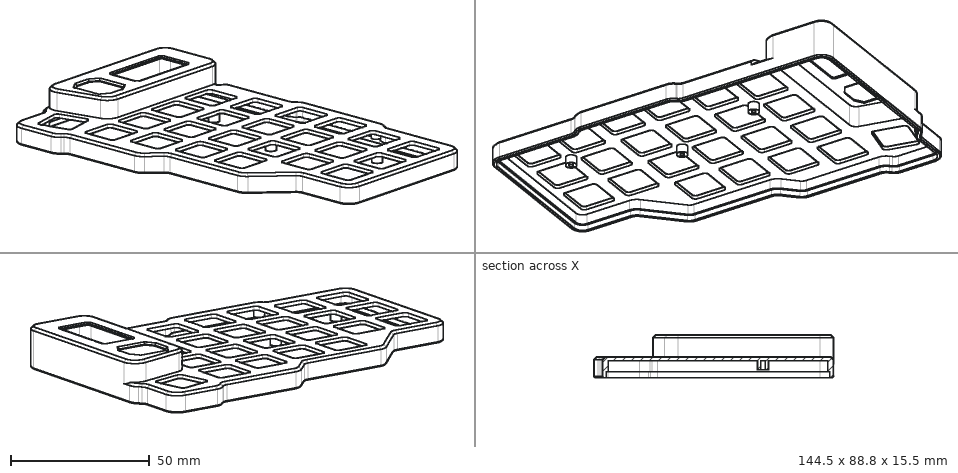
import cadquery as cq
import math


length = 144.5
width = 88.8
tower_height = 15.5
deck_height = 7.5

plate_thickness = 1.5
rim_thickness = 2.2
seat_wall = 1.5
seat_depth = 2.2
roof_thickness = 1.0
top_chamfer = 1.0
bottom_chamfer = 0.5

outer_radius = 5.0
inner_radius = 3.0
left = -length / 2
right = length / 2
back_high = width / 2
front_low = -width / 2
back_low = 42.0
thumb_left = -69.0
front_left = -41.3
front_middle = -34.0
front_right = -19.2
back_step_left = -10.1
back_step_right = 35.4
back_step_run = 2.6
thumb_step_y = -23.5
front_thumb_step_x = -47.7
front_step_left = -10.3
front_step_right = 33.1

tower_right = -44.5
tower_front_at_right = -18.2
thumb_angle = 12.5

key_size = 14.0
key_radius = 1.5
first_column_x = -34.8
last_column_x = 60.0
column_count = 6
column_pitch = (last_column_x - first_column_x) / (column_count - 1)
row_span = 54.0
most_rows = 4
row_pitch = row_span / (most_rows - 1)
back_row_y = [25.5, 28.9, 31.9, 31.9, 28.9, 28.9]
row_counts = [most_rows] * 4 + [most_rows - 1] * 2
thumb_key_center = (-55.8, -30.9)

display_center = (-57.9, 18.0)
display_size = (14.2, 28.7)
display_chamfer = 0.5
knob_center = (-57.5, -9.5)
knob_size = (17.0, 14.5)
knob_corner_cut = (2.5, 3.8)
knob_chamfer = 0.7

boss_diameter = 4.0
screw_diameter = 1.6
boss_bottom = 2.9
boss_keys = [(0, 1), (2, 2), (3, 0), (4, 1)]

notch_drop = 1.5
tower_corner_x = tower_right - outer_radius
notch_edge = [(-40.5, back_low), (-42.3, 39.0), (-43.3, 38.3)]


def rounded_outline(corners):
    """Closed XY wire through (x, y, radius) corners, each rounded with a tangent arc."""
    arcs = []
    for i, (x, y, radius) in enumerate(corners):
        before = cq.Vector(*corners[i - 1][:2])
        after = cq.Vector(*corners[(i + 1) % len(corners)][:2])
        corner = cq.Vector(x, y)
        to_before = (before - corner).normalized()
        to_after = (after - corner).normalized()
        half_angle = to_before.getAngle(to_after) / 2
        tangent = radius / math.tan(half_angle)
        arc_depth = radius / math.sin(half_angle) - radius
        bisector = (to_before + to_after).normalized()
        arcs.append((
            corner + to_before * tangent,
            corner + bisector * arc_depth,
            corner + to_after * tangent,
        ))
    wire = cq.Workplane("XY").moveTo(*arcs[0][2].toTuple()[:2])
    for start, middle, end in arcs[1:] + arcs[:1]:
        wire = wire.lineTo(start.x, start.y).threePointArc((middle.x, middle.y), (end.x, end.y))
    return wire.close()


def deck_outline():
    thumb_step = thumb_left - left
    front_step = front_left - front_low
    middle_step = front_middle - front_left
    right_step = front_right - front_middle
    return rounded_outline([
        (left, back_low, outer_radius),
        (left, thumb_step_y, outer_radius),
        (thumb_left, thumb_step_y - thumb_step, inner_radius),
        (thumb_left, front_low, outer_radius),
        (front_thumb_step_x, front_low, outer_radius),
        (front_thumb_step_x + front_step, front_left, inner_radius),
        (front_step_left, front_left, outer_radius),
        (front_step_left + middle_step, front_middle, inner_radius),
        (front_step_right, front_middle, outer_radius),
        (front_step_right + right_step, front_right, inner_radius),
        (right, front_right, outer_radius),
        (right, back_low, outer_radius),
        (back_step_right, back_low, inner_radius),
        (back_step_right - back_step_run, back_high, outer_radius),
        (back_step_left + back_step_run, back_high, outer_radius),
        (back_step_left, back_low, inner_radius),
    ])


def tower_outline():
    slant_drop = (tower_right - left) * math.tan(math.radians(thumb_angle))
    return rounded_outline([
        (left, back_low, outer_radius),
        (left, tower_front_at_right - slant_drop, outer_radius),
        (tower_right, tower_front_at_right, outer_radius),
        (tower_right, back_low, outer_radius),
    ])


def inset_prism(outline, inset, bottom, top):
    return outline.offset2D(-inset).extrude(top - bottom).translate((0, 0, bottom))


def deck_block():
    block = deck_outline().extrude(deck_height)
    return block.faces(">Z").chamfer(top_chamfer).faces("<Z").chamfer(bottom_chamfer)


def tower_block():
    block = tower_outline().extrude(tower_height - seat_depth)
    return block.faces(">Z").chamfer(top_chamfer).translate((0, 0, seat_depth))


def cavity():
    """Hollow under the plate and tower, widened at the bottom to seat a cover."""
    under_plate = inset_prism(deck_outline(), rim_thickness, 0, deck_height - plate_thickness)
    under_roof = inset_prism(tower_outline(), rim_thickness, seat_depth, tower_height - roof_thickness)
    cover_seat = inset_prism(deck_outline(), seat_wall, 0, seat_depth)
    return under_plate.union(under_roof).union(cover_seat)


def key_position(column, row):
    return first_column_x + column * column_pitch, back_row_y[column] - row * row_pitch


def key_cutter(center, angle=0.0):
    cutter = cq.Workplane("XY").rect(key_size, key_size).extrude(deck_height)
    cutter = cutter.edges("|Z").fillet(key_radius)
    return cutter.rotate((0, 0, 0), (0, 0, 1), angle).translate((*center, 0))


def display_window():
    return cq.Workplane("XY").rect(*display_size).extrude(tower_height).edges("|Z").fillet(key_radius)


def knob_window():
    """Prism over a rectangle with its four corners cut off at a slant."""
    half_x = knob_size[0] / 2
    half_y = knob_size[1] / 2
    flat_x = half_x - knob_corner_cut[0]
    flat_y = half_y - knob_corner_cut[1]
    octagon = [
        (half_x, flat_y), (flat_x, half_y), (-flat_x, half_y), (-half_x, flat_y),
        (-half_x, -flat_y), (-flat_x, -half_y), (flat_x, -half_y), (half_x, -flat_y),
    ]
    return cq.Workplane("XY").polyline(octagon).close().extrude(tower_height)


def roof_cutter(window, center, chamfer):
    """Opening through the tower roof: full window size at the top face, smaller by a chamfer below."""
    flare = window.faces("<Z").chamfer(chamfer).translate((0, 0, tower_height - chamfer))
    throat = flare.faces("<Z").wires().toPending().extrude(-roof_thickness, combine=False)
    return flare.union(throat).translate((*center, 0))


def screw_boss(column, row):
    key_x, key_y = key_position(column, row)
    x = key_x + column_pitch / 2
    y = key_y + row_pitch / 2
    top = deck_height - plate_thickness
    boss = cq.Workplane("XY").workplane(offset=boss_bottom).center(x, y)
    return boss.circle(boss_diameter / 2).circle(screw_diameter / 2).extrude(top - boss_bottom)


def notch_cutter():
    """Gap in the plate beside the tower corner; the rim behind it stays, but lowered."""
    plan = [(tower_corner_x, back_low), *notch_edge, (tower_corner_x, notch_edge[-1][1])]
    wedge = cq.Workplane("XY").polyline(plan).close().extrude(tower_height)
    rim = deck_block().cut(inset_prism(deck_outline(), rim_thickness, 0, deck_height))
    return wedge.cut(rim.translate((0, 0, -notch_drop))).cut(tower_block())


result = deck_block().union(tower_block()).cut(cavity())
for column in range(column_count):
    for row in range(row_counts[column]):
        result = result.cut(key_cutter(key_position(column, row)))
result = result.cut(key_cutter(thumb_key_center, thumb_angle))
result = result.cut(roof_cutter(display_window(), display_center, display_chamfer))
result = result.cut(roof_cutter(knob_window(), knob_center, knob_chamfer))
for column, row in boss_keys:
    result = result.union(screw_boss(column, row))
result = result.cut(notch_cutter())